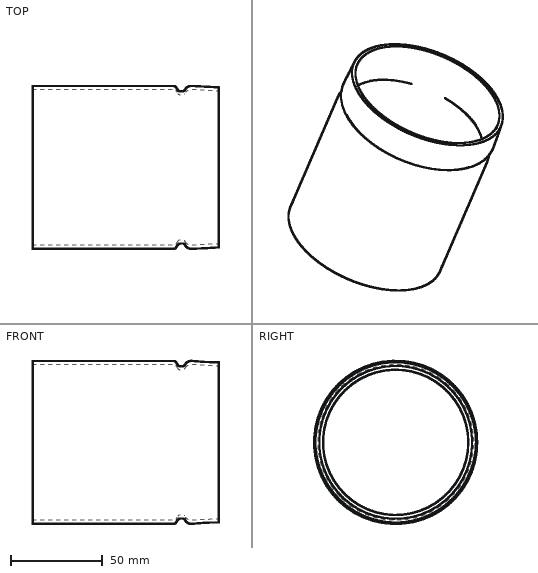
import cadquery as cq
import math

length = 101.6
tube_diameter = 89.0
groove_diameter = 83.2
bead_diameter = 89.1
end_diameter = 87.5
wall = 2.0

groove_start = 76.9
floor_start = 80.6
floor_end = 81.8
bead_crest = 86.7

flank_angle = 55.0
flank_radius = 1.6
foot_radius = 1.4

bead_run = bead_crest - floor_end
bead_rise = (bead_diameter - groove_diameter) / 2
bead_angle = math.degrees(2 * math.atan2(bead_rise, bead_run))
bead_radius = bead_run / math.sin(math.radians(bead_angle)) - foot_radius


def arc_point(tangent_point, radius, sweep, x_side, r_side):
    """Point on an arc that is parallel to the axis at tangent_point.

    x_side and r_side (+1 or -1) tell which way the arc runs along X and bends in radius.
    """
    angle = math.radians(sweep)
    x = tangent_point[0] + x_side * radius * math.sin(angle)
    r = tangent_point[1] + r_side * radius * (1 - math.cos(angle))
    return x, r


def revolved_profile(inset):
    """Solid bounded by the outer wall line moved towards the axis by inset."""
    tube_r = tube_diameter / 2 - inset
    floor_r = groove_diameter / 2 - inset
    bead_r = bead_diameter / 2 - inset
    end_r = end_diameter / 2 - inset

    shoulder = (groove_start, tube_r)
    floor_left = (floor_start, floor_r)
    floor_right = (floor_end, floor_r)
    crest = (bead_crest, bead_r)

    section = (
        cq.Workplane("XY")
        .lineTo(0, tube_r)
        .lineTo(*shoulder)
        .threePointArc(
            arc_point(shoulder, flank_radius, flank_angle / 2, 1, -1),
            arc_point(shoulder, flank_radius, flank_angle, 1, -1),
        )
        .lineTo(*arc_point(floor_left, flank_radius, flank_angle, -1, 1))
        .threePointArc(arc_point(floor_left, flank_radius, flank_angle / 2, -1, 1), floor_left)
        .lineTo(*floor_right)
        .threePointArc(
            arc_point(floor_right, foot_radius, bead_angle / 2, 1, 1),
            arc_point(floor_right, foot_radius, bead_angle, 1, 1),
        )
        .threePointArc(arc_point(crest, bead_radius, bead_angle / 2, -1, -1), crest)
        .lineTo(length, end_r)
        .lineTo(length, 0)
        .close()
    )
    return section.revolve(360, (0, 0, 0), (1, 0, 0))


outside = revolved_profile(0)
bore = revolved_profile(wall)
result = outside.cut(bore)